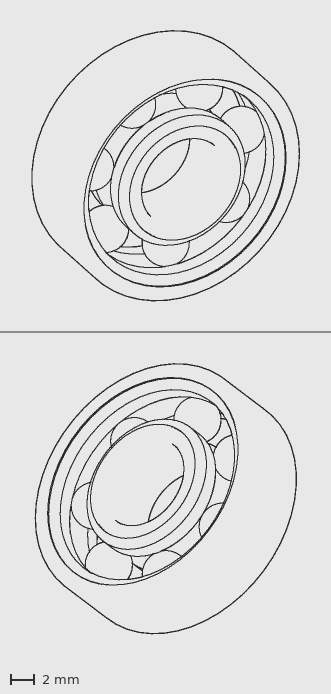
import cadquery as cq
import math

outer_diameter = 22.0
bore_diameter = 8.0
width = 7.0
edge_radius = 0.3
half_width = width / 2

ball_count = 7
ball_diameter = 3.98
pitch_radius = 7.35
race_radius = ball_diameter / 2

outer_lip_diameter = 19.2
outer_shoulder_diameter = 17.6
outer_lip_length = 0.15
seal_groove_radius = 0.2
cone_angle = math.radians(10)

inner_shoulder_diameter = 12.05
inner_neck_diameter = 10.55
inner_neck_length = 0.6
neck_fillet_radius = 0.3


def cylinder(diameter, length):
    """Cylinder along the X axis, centred on the origin."""
    return cq.Workplane("YZ", origin=(-length / 2, 0, 0)).circle(diameter / 2).extrude(length)


def raceway():
    """Torus that cuts the ball groove into a ring."""
    return (
        cq.Workplane("XY")
        .center(0, pitch_radius)
        .circle(race_radius)
        .revolve(360, (0, -pitch_radius, 0), (1, -pitch_radius, 0))
    )


def seal_recess():
    """Space inside the outer ring at its -X end: lip, round groove, and the cone tangent to the groove."""
    lip_radius = outer_lip_diameter / 2
    shoulder_radius = outer_shoulder_diameter / 2
    lip_end_x = -half_width + outer_lip_length
    groove_x = lip_end_x + seal_groove_radius
    cone_start_x = groove_x + seal_groove_radius * math.cos(cone_angle)
    cone_start_radius = lip_radius + seal_groove_radius * math.sin(cone_angle)
    cone_end_x = cone_start_x + (cone_start_radius - shoulder_radius) * math.tan(cone_angle)
    return (
        cq.Workplane("XY")
        .moveTo(-half_width, 0)
        .lineTo(-half_width, lip_radius)
        .lineTo(lip_end_x, lip_radius)
        .threePointArc((groove_x, lip_radius + seal_groove_radius), (cone_start_x, cone_start_radius))
        .lineTo(cone_end_x, shoulder_radius)
        .lineTo(cone_end_x, 0)
        .close()
        .revolve(360, (0, 0, 0), (1, 0, 0))
    )


def make_outer_ring():
    blank = cylinder(outer_diameter, width).faces("<X or >X").edges().fillet(edge_radius)
    recess = seal_recess()
    ring = blank.cut(cylinder(outer_shoulder_diameter, width))
    return ring.cut(recess).cut(recess.mirror("YZ")).cut(raceway())


def neck_recess():
    """Space outside the neck at the -X end of the inner ring, with a fillet at the neck root."""
    neck_radius = inner_neck_diameter / 2
    shoulder_radius = inner_shoulder_diameter / 2
    shoulder_x = -half_width + inner_neck_length
    fillet_start_x = shoulder_x - neck_fillet_radius
    fillet_end_radius = neck_radius + neck_fillet_radius
    return (
        cq.Workplane("XY")
        .moveTo(-half_width, shoulder_radius)
        .lineTo(-half_width, neck_radius)
        .lineTo(fillet_start_x, neck_radius)
        .radiusArc((shoulder_x, fillet_end_radius), -neck_fillet_radius)
        .lineTo(shoulder_x, shoulder_radius)
        .close()
        .revolve(360, (0, 0, 0), (1, 0, 0))
    )


def make_inner_ring():
    blank = cylinder(inner_shoulder_diameter, width).cut(cylinder(bore_diameter, width))
    blank = blank.edges(cq.selectors.RadiusNthSelector(0)).fillet(edge_radius)
    recess = neck_recess()
    return blank.cut(recess).cut(recess.mirror("YZ")).cut(raceway())


def make_ball(index):
    """One ball; the first sits at the bottom of the bearing."""
    angle = 2 * math.pi * index / ball_count
    y = pitch_radius * math.sin(angle)
    z = -pitch_radius * math.cos(angle)
    return cq.Workplane("XY").sphere(ball_diameter / 2).translate((0, y, z))


outer_ring = make_outer_ring()
inner_ring = make_inner_ring()
balls = [make_ball(index) for index in range(ball_count)]

result = cq.Compound.makeCompound(
    [outer_ring.solids().val(), inner_ring.solids().val(), *[ball.val() for ball in balls]]
)